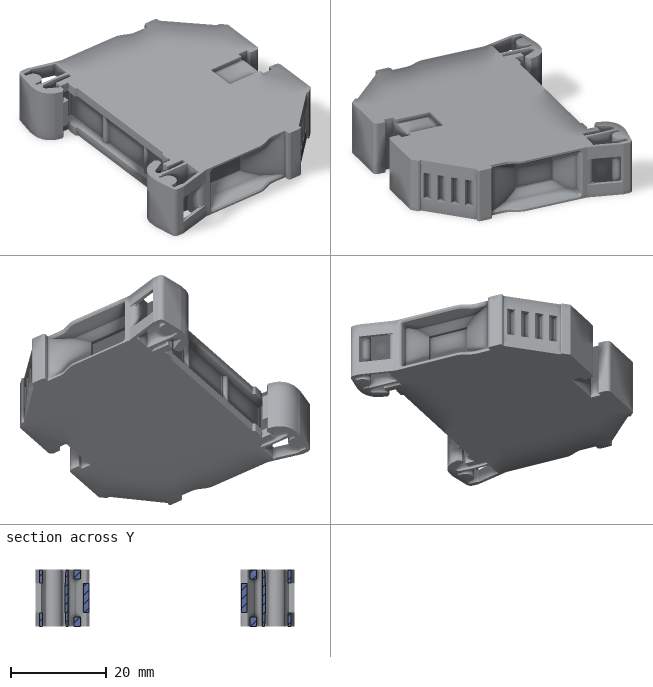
import cadquery as cq
import math


LENGTH = 54.0
HEIGHT = 46.3
THICKNESS = 11.9
MID_Z = THICKNESS / 2

BODY_X = 25.0
TOP_FLAT_X = 14.2
SHOULDER_X = 15.45
SLOPE_TOP = (15.25, 44.55)
SLOPE_END = (24.1, 35.7)
RIM_TOP_X = 24.7
RIM_PEAK_Y = 35.86
RIM_TOP_Y = 35.5
RIM_BOTTOM_Y = 32.45
RIM_BEVEL_X = 0.3
RIM_BEVEL_Y = 0.42
WAIST_X = 23.7
WAIST_Y = 28.5
FLANK_TOP_Y = 25.6
WAIST_RADIUS = 4.0
BODY_BOTTOM_Y = 8.98

SLOT_MOUTH_X = 3.25
SLOT_X = 4.33
SLOT_FLOOR_Y = 41.5
SLOT_NECK_Y = 43.75
MOUTH_RADIUS = 0.85
NECK_RADIUS = 0.2

LABEL_X = 3.25
LABEL_BOTTOM_Y = 33.5
LABEL_PAD_X = 2.3
LABEL_PAD_Y = 34.6
LABEL_PAD_DEPTH = 0.57
LABEL_BEVEL_DROP = 0.33

RAIL_Y = 7.3
PAD_Y = 6.8
PAD_STEP_Y = 7.0
PAD_INNER_X = 15.0
PAD_OUTER_X = 17.0
PAD_CHAMFER_X = 14.65
LEG_INNER_X = 17.67
LEG_OUTER_X = 19.14
LEG_BOTTOM_Y = 4.95
FLANGE = 2.0
RECESS_DEPTH = 1.8
RIB_X = 7.0
RIB_RADIUS = 0.7
RIB_BASE_WIDTH = 2.12
RIB_BASE_HEIGHT = 0.15

FOOT_X = LENGTH / 2
STRUT_TOP_Y = 10.7
STRUT_BOTTOM_Y = 3.2
STRUT_KNEE = (26.1, 3.8)
STRUT_FOOT_X = 25.93
OPENING_CORNER_X = 24.2
OPENING_CORNER_MIDDLE = (24.58, 9.08)
OPENING_CORNER_END = (24.75, 8.6)
FOOT_CORNER_Y = 1.04
FOOT_CORNER_RADIUS = 1.05
SOLE_OUTER_X = 21.5
HOOK_X = 20.07
HOOK_RADIUS = 4.25
HOOK_END_ANGLE = 24.4
HOOK_NOSE = (15.74, 4.15)
SPRING_INNER_X = 20.05
SPRING_BOW = 0.22
SPRING_OUTER_X = 20.99
CROOK_Y = 2.4
CROOK_BOTTOM_Y = 1.8
CROOK_INNER_X = 18.6
HOOK_SHOULDER = (17.25, 4.85)
HOOK_CREST = (16.4, 4.85)
TIP_TOP_Y = 5.7
TIP_INNER_X = 17.16
TIP_BEVEL = 0.25
TIP_ROOT = (17.0, 3.9)

BAND_WIDTH = 6.1
BAND_BOTTOM = MID_Z - BAND_WIDTH / 2

STUD_X = 23.27
STUD_RADIUS = 1.74
STUD_Y = 2.12
CLEFT_Y = 1.65
CLEFT_BOTTOM_Y = 1.45
INNER_CLEFT_BOTTOM_Y = 1.25

CROWN_HEIGHT = 0.2
CROWN_BOTTOM_Y = 2.3

BODY_CORNER_RADIUS = 1.17
BODY_CORNER_INSET = 0.17

FUNNEL_SLOPE_X = 19.3
FUNNEL_FLOOR_X = 18.5
FUNNEL_FLOOR_BOTTOM_Y = 15.65
FUNNEL_FLOOR_TOP_Y = 24.6
FUNNEL_BOTTOM_Y = 12.05
FUNNEL_END_X = 22.7
FUNNEL_TOP_Y = 32.2
FUNNEL_WALL = 0.75
FUNNEL_SIDE_X = 21.1
FUNNEL_SIDE_Z = 1.05
FUNNEL_FLOOR_Z = 2.3
FUNNEL_LIP = 0.3
RIM_SEARCH = 0.15
RAMP_RIM_SKIP = 1.0

GRIP_COUNT = 4
GRIP_TOP_Y = 44.1
GRIP_PITCH = 2.187
GRIP_HEIGHT = 1.31
GRIP_DEPTH = 0.7
GRIP_ROOF_DROP = 0.95

CORNER_SEARCH = 0.05
CUT_MARGIN = 3.0


def extrude_outline(points, bottom=0.0, height=THICKNESS):
    return cq.Workplane("XY").workplane(offset=bottom).polyline(points).close().extrude(height)


def box_between(low, high):
    size = [b - a for a, b in zip(low, high)]
    return cq.Workplane("XY").box(*size, centered=False).translate(low)


def round_upright_edge(solid, x, y, radius):
    low = (x - CORNER_SEARCH, y - CORNER_SEARCH, 0)
    high = (x + CORNER_SEARCH, y + CORNER_SEARCH, THICKNESS)
    corner = cq.selectors.BoxSelector(low, high)
    return solid.edges("|Z").edges(corner).fillet(radius)


def hook_point(angle):
    turn = math.radians(angle)
    return HOOK_X + HOOK_RADIUS * math.cos(turn), HOOK_RADIUS + HOOK_RADIUS * math.sin(turn)


def half_plate():
    hook_end = hook_point(180 + HOOK_END_ANGLE)
    hook_middle = hook_point((180 + HOOK_END_ANGLE + 270) / 2)
    spring_middle_y = (CROOK_Y + BODY_BOTTOM_Y) / 2
    shoulder_y = HEIGHT - (SHOULDER_X - TOP_FLAT_X)
    plate = (
        cq.Workplane("XY")
        .moveTo(0, SLOT_FLOOR_Y)
        .lineTo(SLOT_X, SLOT_FLOOR_Y)
        .lineTo(SLOT_X, SLOT_NECK_Y)
        .lineTo(SLOT_MOUTH_X, SLOT_NECK_Y)
        .lineTo(SLOT_MOUTH_X, HEIGHT)
        .lineTo(TOP_FLAT_X, HEIGHT)
        .lineTo(SHOULDER_X, shoulder_y)
        .lineTo(SHOULDER_X, SLOPE_TOP[1] + SHOULDER_X - SLOPE_TOP[0])
        .lineTo(*SLOPE_TOP)
        .lineTo(*SLOPE_END)
        .lineTo(RIM_TOP_X, RIM_PEAK_Y)
        .lineTo(BODY_X, RIM_TOP_Y)
        .lineTo(BODY_X, RIM_BOTTOM_Y + RIM_BEVEL_Y)
        .lineTo(BODY_X - RIM_BEVEL_X, RIM_BOTTOM_Y)
        .lineTo(WAIST_X, RIM_BOTTOM_Y)
        .lineTo(WAIST_X, WAIST_Y)
        .lineTo(BODY_X, FLANK_TOP_Y)
        .lineTo(BODY_X, STRUT_TOP_Y)
        .lineTo(FOOT_X, STRUT_BOTTOM_Y)
        .lineTo(FOOT_X, FOOT_CORNER_Y)
        .lineTo(SOLE_OUTER_X, 0)
        .lineTo(HOOK_X, 0)
        .threePointArc(hook_middle, hook_end)
        .lineTo(*HOOK_NOSE)
        .lineTo(*HOOK_CREST)
        .lineTo(*HOOK_SHOULDER)
        .lineTo(CROOK_INNER_X, CROOK_Y)
        .threePointArc(((CROOK_INNER_X + SPRING_INNER_X) / 2, CROOK_BOTTOM_Y), (SPRING_INNER_X, CROOK_Y))
        .threePointArc((SPRING_INNER_X + SPRING_BOW, spring_middle_y), (SPRING_INNER_X, BODY_BOTTOM_Y))
        .lineTo(LEG_OUTER_X, BODY_BOTTOM_Y)
        .lineTo(LEG_OUTER_X, LEG_BOTTOM_Y)
        .lineTo(LEG_INNER_X, LEG_BOTTOM_Y)
        .lineTo(LEG_INNER_X, PAD_STEP_Y)
        .lineTo(PAD_OUTER_X, PAD_STEP_Y)
        .lineTo(PAD_OUTER_X, PAD_Y)
        .lineTo(PAD_INNER_X, PAD_Y)
        .lineTo(PAD_CHAMFER_X, RAIL_Y)
        .lineTo(0, RAIL_Y)
        .close()
        .extrude(THICKNESS)
    )
    plate = round_upright_edge(plate, SLOT_MOUTH_X, HEIGHT, MOUTH_RADIUS)
    plate = round_upright_edge(plate, SLOT_MOUTH_X, SLOT_NECK_Y, NECK_RADIUS)
    plate = round_upright_edge(plate, WAIST_X, WAIST_Y, WAIST_RADIUS)
    plate = round_upright_edge(plate, BODY_X, FLANK_TOP_Y, WAIST_RADIUS)
    return round_upright_edge(plate, FOOT_X, FOOT_CORNER_Y, FOOT_CORNER_RADIUS)


def foot_opening():
    stud_outer_x = STUD_X + STUD_RADIUS
    stud_inner_x = STUD_X - STUD_RADIUS
    return (
        cq.Workplane("XY")
        .moveTo(SPRING_OUTER_X, BODY_BOTTOM_Y)
        .lineTo(OPENING_CORNER_X, BODY_BOTTOM_Y)
        .threePointArc(OPENING_CORNER_MIDDLE, OPENING_CORNER_END)
        .lineTo(*STRUT_KNEE)
        .lineTo(STRUT_FOOT_X, STRUT_BOTTOM_Y)
        .lineTo(STRUT_FOOT_X, CLEFT_Y)
        .threePointArc(((STRUT_FOOT_X + stud_outer_x) / 2, CLEFT_BOTTOM_Y), (stud_outer_x, CLEFT_Y))
        .lineTo(stud_outer_x, STUD_Y)
        .threePointArc((STUD_X, STUD_Y + STUD_RADIUS), (stud_inner_x, STUD_Y))
        .lineTo(stud_inner_x, CLEFT_Y)
        .threePointArc(((stud_inner_x + SPRING_OUTER_X) / 2, INNER_CLEFT_BOTTOM_Y), (SPRING_OUTER_X, CLEFT_Y))
        .close()
        .extrude(THICKNESS)
    )


def spring_relief():
    """Sliver that leaves the spring's outer face slightly crowned along Z."""
    edge_x = SPRING_OUTER_X - CROWN_HEIGHT
    height = BODY_BOTTOM_Y - CROWN_BOTTOM_Y
    return (
        cq.Workplane("XZ", origin=(0, BODY_BOTTOM_Y, 0))
        .moveTo(edge_x, 0)
        .threePointArc((SPRING_OUTER_X, MID_Z), (edge_x, THICKNESS))
        .lineTo(STUD_X - STUD_RADIUS, THICKNESS)
        .lineTo(STUD_X - STUD_RADIUS, 0)
        .close()
        .extrude(height)
    )


def strut_window():
    outer_x = FOOT_X + CUT_MARGIN
    stud_side_x = STUD_X + STUD_RADIUS
    window_top_y = BODY_BOTTOM_Y + BODY_CORNER_RADIUS
    return extrude_outline([
        (outer_x, window_top_y),
        (BODY_X, window_top_y),
        (BODY_X, BODY_BOTTOM_Y),
        (BODY_X - BODY_CORNER_RADIUS, BODY_BOTTOM_Y),
        (BODY_X - BODY_CORNER_RADIUS, STUD_Y + STUD_RADIUS),
        (stud_side_x, STUD_Y + STUD_RADIUS),
        (stud_side_x, STRUT_BOTTOM_Y),
        (outer_x, STRUT_BOTTOM_Y),
    ], BAND_BOTTOM, BAND_WIDTH)


def body_corner_round():
    """Continues the window upward and rounds the lower corner of the body behind it."""
    outer_x = FOOT_X + CUT_MARGIN
    arc_x = BODY_X - BODY_CORNER_RADIUS
    arc_y = BODY_BOTTOM_Y + BODY_CORNER_RADIUS
    diagonal = BODY_CORNER_RADIUS * math.sqrt(0.5)
    return (
        cq.Workplane("XY")
        .workplane(offset=BAND_BOTTOM + BODY_CORNER_INSET)
        .moveTo(outer_x, STRUT_TOP_Y)
        .lineTo(BODY_X, STRUT_TOP_Y)
        .lineTo(BODY_X, arc_y)
        .threePointArc((arc_x + diagonal, arc_y - diagonal), (arc_x, BODY_BOTTOM_Y))
        .lineTo(outer_x, BODY_BOTTOM_Y)
        .close()
        .extrude(BAND_WIDTH - 2 * BODY_CORNER_INSET)
    )


def hook_tip():
    return extrude_outline([
        HOOK_NOSE,
        (HOOK_NOSE[0], TIP_TOP_Y - TIP_BEVEL),
        (HOOK_NOSE[0] + TIP_BEVEL, TIP_TOP_Y),
        (TIP_INNER_X, TIP_TOP_Y),
        HOOK_SHOULDER,
        TIP_ROOT,
    ], BAND_BOTTOM, BAND_WIDTH)


def rail_recess():
    recess = box_between(
        (0, LEG_BOTTOM_Y, FLANGE),
        (LEG_OUTER_X, RAIL_Y + RECESS_DEPTH, THICKNESS - FLANGE),
    )
    return recess.cut(rail_rib())


def rail_rib():
    root_y = RAIL_Y + RECESS_DEPTH
    base_y = root_y - RIB_BASE_HEIGHT
    width_z = THICKNESS - 2 * FLANGE
    base = box_between(
        (RIB_X - RIB_BASE_WIDTH / 2, base_y, FLANGE),
        (RIB_X + RIB_BASE_WIDTH / 2, root_y, THICKNESS - FLANGE),
    )
    bead = cq.Workplane("XY", origin=(RIB_X, base_y, FLANGE)).circle(RIB_RADIUS).extrude(width_z)
    return base.union(bead)


def wire_funnel():
    """Funnel with a ramp at its upper end and sloped walls elsewhere, leading into a straight well."""
    ramp_slope = (WAIST_X - FUNNEL_SLOPE_X) / (FUNNEL_TOP_Y - FUNNEL_FLOOR_TOP_Y)
    ramp_end_y = FUNNEL_FLOOR_TOP_Y + (BODY_X - FUNNEL_SLOPE_X) / ramp_slope
    length_section = extrude_outline([
        (FUNNEL_SLOPE_X, FUNNEL_FLOOR_BOTTOM_Y),
        (FUNNEL_SLOPE_X, FUNNEL_FLOOR_TOP_Y),
        (BODY_X, ramp_end_y),
        (BODY_X, FUNNEL_BOTTOM_Y),
        (FUNNEL_END_X, FUNNEL_BOTTOM_Y),
    ])
    cross_section = [
        (FUNNEL_SLOPE_X, FUNNEL_FLOOR_Z),
        (FUNNEL_SIDE_X, FUNNEL_SIDE_Z),
        (BODY_X, FUNNEL_WALL),
        (BODY_X, THICKNESS - FUNNEL_WALL),
        (FUNNEL_SIDE_X, THICKNESS - FUNNEL_SIDE_Z),
        (FUNNEL_SLOPE_X, THICKNESS - FUNNEL_FLOOR_Z),
    ]
    across = cq.Workplane("XZ", origin=(0, FUNNEL_TOP_Y, 0)).polyline(cross_section).close()
    well = box_between(
        (FUNNEL_FLOOR_X, FUNNEL_FLOOR_BOTTOM_Y, FUNNEL_FLOOR_Z),
        (FUNNEL_SLOPE_X, FUNNEL_FLOOR_TOP_Y, THICKNESS - FUNNEL_FLOOR_Z),
    )
    return length_section.intersect(across.extrude(FUNNEL_TOP_Y - FUNNEL_BOTTOM_Y)).union(well)


def chamfer_funnel_lip(solid):
    """Break the funnel's rim on all sides but the ramp."""
    rim = cq.selectors.BoxSelector(
        (WAIST_X - RIM_SEARCH, FUNNEL_BOTTOM_Y - RIM_SEARCH, FUNNEL_WALL - RIM_SEARCH),
        (BODY_X + RIM_SEARCH, FUNNEL_TOP_Y - RAMP_RIM_SKIP, THICKNESS - FUNNEL_WALL + RIM_SEARCH),
    )
    return solid.edges(rim).chamfer(FUNNEL_LIP)


def grip_slot(top_y):
    face_x = SLOPE_TOP[0] + SLOPE_TOP[1] - top_y
    bottom_y = top_y - GRIP_HEIGHT
    inner_x = face_x - GRIP_DEPTH
    return extrude_outline([
        (face_x, top_y),
        (inner_x, top_y - GRIP_ROOF_DROP),
        (inner_x, bottom_y),
        (face_x + GRIP_HEIGHT, bottom_y),
        (face_x + GRIP_HEIGHT, top_y),
    ], BAND_BOTTOM, BAND_WIDTH)


def label_pad():
    top_z = THICKNESS - LABEL_PAD_DEPTH
    bottom_z = top_z - LABEL_BEVEL_DROP
    across = [
        (-LABEL_X, bottom_z),
        (LABEL_X, bottom_z),
        (LABEL_PAD_X, top_z),
        (-LABEL_PAD_X, top_z),
    ]
    lengthwise = [
        (LABEL_BOTTOM_Y, bottom_z),
        (SLOT_FLOOR_Y, bottom_z),
        (SLOT_FLOOR_Y, top_z),
        (LABEL_PAD_Y, top_z),
    ]
    pad = cq.Workplane("XZ", origin=(0, SLOT_FLOOR_Y, 0)).polyline(across).close()
    pad = pad.extrude(SLOT_FLOOR_Y - LABEL_BOTTOM_Y)
    side = cq.Workplane("YZ", origin=(-LABEL_X, 0, 0)).polyline(lengthwise).close().extrude(2 * LABEL_X)
    return pad.intersect(side)


def label_pocket():
    pocket = box_between(
        (-LABEL_X, LABEL_BOTTOM_Y, THICKNESS - LABEL_PAD_DEPTH - LABEL_BEVEL_DROP),
        (LABEL_X, SLOT_FLOOR_Y, THICKNESS),
    )
    return pocket.cut(label_pad())


half = half_plate().cut(wire_funnel())
half = chamfer_funnel_lip(half)
half = half.cut(foot_opening()).cut(spring_relief()).cut(strut_window()).cut(body_corner_round())
half = half.cut(rail_recess()).union(hook_tip())
for index in range(GRIP_COUNT):
    half = half.cut(grip_slot(GRIP_TOP_Y - index * GRIP_PITCH))

result = half.union(half.mirror("YZ")).cut(label_pocket())